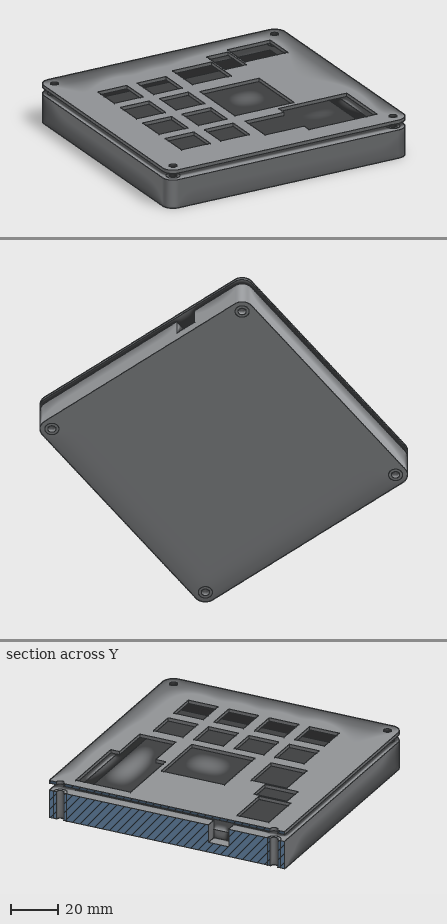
import cadquery as cq

case_x = 111.0
case_y = 117.0
total_height = 17.5
corner_radius = 5.0
screw_x = case_x / 2 - corner_radius
screw_y = case_y / 2 - corner_radius
screw_positions = [(sx * screw_x, sy * screw_y) for sx in (-1, 1) for sy in (-1, 1)]
screw_hole_diameter = 3.4

housing_height = 13.0
plate_thickness = 1.5
plate_bottom = total_height - plate_thickness

wall_thickness = 10.0
cavity_x = case_x - 2 * wall_thickness
cavity_y = case_y - 2 * wall_thickness
cavity_floor = 4.8
notch_left = -29.1
notch_width = 9.5

board_top = 8.7
board_gap = 0.4
board_x = cavity_x - board_gap

insert_diameter = 6.0

key_size = 14.0
key_pitch = 19.1
key_columns = 4
key_rows = 2
keys_center_x = 2.1
keys_center_y = -25.5

opening_edge_x = cavity_x / 2
opening_edge_y = cavity_y / 2
module_bottom = -3.5
module_top = 15.5
controller_opening = (-opening_edge_x, -30.5, 27.7, opening_edge_y)
connector_opening = (-43.3, -27.7, 16.4, 26.8)
left_module_opening = (-37.5, -20.6, module_bottom, module_top)
display_opening = (-12.5, 17.3, -4.5, 24.3)
right_module_upper_opening = (19.7, opening_edge_x, module_top, opening_edge_y)
right_module_lower_opening = (24.3, 41.4, module_bottom, module_top)
component_openings = [
    controller_opening,
    connector_opening,
    left_module_opening,
    display_opening,
    right_module_upper_opening,
    right_module_lower_opening,
]


def box(left, right, bottom, top, z_low, z_high):
    """Axis-aligned block given by its edges."""
    size = (right - left, top - bottom, z_high - z_low)
    return cq.Workplane("XY").box(*size, centered=False).translate((left, bottom, z_low))


def rounded_slab(z_low, thickness):
    """Slab with the case outline and rounded vertical corners."""
    slab = cq.Workplane("XY", origin=(0, 0, z_low)).rect(case_x, case_y).extrude(thickness)
    return slab.edges("|Z").fillet(corner_radius)


def screw_cylinders(diameter, z_low, height):
    """Cylinders at the four screw positions, used to cut holes."""
    plane = cq.Workplane("XY", origin=(0, 0, z_low))
    return plane.pushPoints(screw_positions).circle(diameter / 2).extrude(height)


def make_housing():
    housing = rounded_slab(0, housing_height)
    cavity = box(-cavity_x / 2, cavity_x / 2, -cavity_y / 2, cavity_y / 2, cavity_floor, housing_height)
    notch_right = notch_left + notch_width
    notch = box(notch_left, notch_right, cavity_y / 2, case_y / 2, cavity_floor, housing_height)
    insert_holes = screw_cylinders(insert_diameter, 0, housing_height)
    return housing.cut(cavity).cut(notch).cut(insert_holes)


def make_board():
    left = -cavity_x / 2
    return box(left, left + board_x, -cavity_y / 2, cavity_y / 2, cavity_floor, board_top)


def make_insert(x, y):
    profile = cq.Workplane("XY", origin=(x, y, 0)).circle(insert_diameter / 2)
    return profile.circle(screw_hole_diameter / 2).extrude(housing_height)


def make_plate():
    plate = rounded_slab(plate_bottom, plate_thickness)
    plate = plate.cut(screw_cylinders(screw_hole_diameter, plate_bottom, plate_thickness))
    key_grid = cq.Workplane("XY", origin=(keys_center_x, keys_center_y, plate_bottom)).rarray(
        key_pitch, key_pitch, key_columns, key_rows
    )
    plate = plate.cut(key_grid.rect(key_size, key_size).extrude(plate_thickness))
    for left, right, bottom, top in component_openings:
        plate = plate.cut(box(left, right, bottom, top, plate_bottom, total_height))
    return plate


housing = make_housing()
board = make_board()
inserts = [make_insert(x, y) for x, y in screw_positions]
plate = make_plate()

result = cq.Compound.makeCompound(
    [housing.val(), board.val(), plate.val()] + [insert.val() for insert in inserts]
)